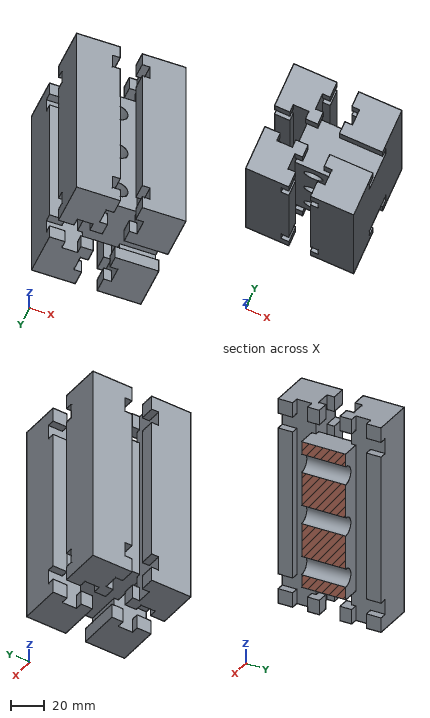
import cadquery as cq

side = 70.0
height = 140.0

neck_width = 14.0
head_width = 24.0
lip_depth = 10.0
slot_depth = 20.0

hole_diameter = 12.2
hole_pitch = 35.0
hole_count = 3


def t_slot(plane, face_distance, length):
    """T-slot cutter, opening at face_distance along the plane's local Y axis."""
    lip = face_distance - lip_depth
    floor = face_distance - slot_depth
    neck = neck_width / 2
    head = head_width / 2
    outline = [
        (-neck, face_distance),
        (-neck, lip),
        (-head, lip),
        (-head, floor),
        (head, floor),
        (head, lip),
        (neck, lip),
        (neck, face_distance),
    ]
    return cq.Workplane(plane).polyline(outline).close().extrude(length / 2, both=True)


body = cq.Workplane("XY").box(side, side, height)

for plane in ("XZ", "YZ"):
    end_slot = t_slot(plane, height / 2, side)
    body = body.cut(end_slot)
    body = body.cut(end_slot.mirror("XY"))

side_slot = t_slot("XY", side / 2, height)
for angle in (0, 90, 180):
    body = body.cut(side_slot.rotate((0, 0, 0), (0, 0, 1), angle))

holes = (
    cq.Workplane("XZ")
    .rarray(1.4, hole_pitch, 1, hole_count)
    .circle(hole_diameter / 2)
    .extrude(side / 2, both=True)
)
result = body.cut(holes)